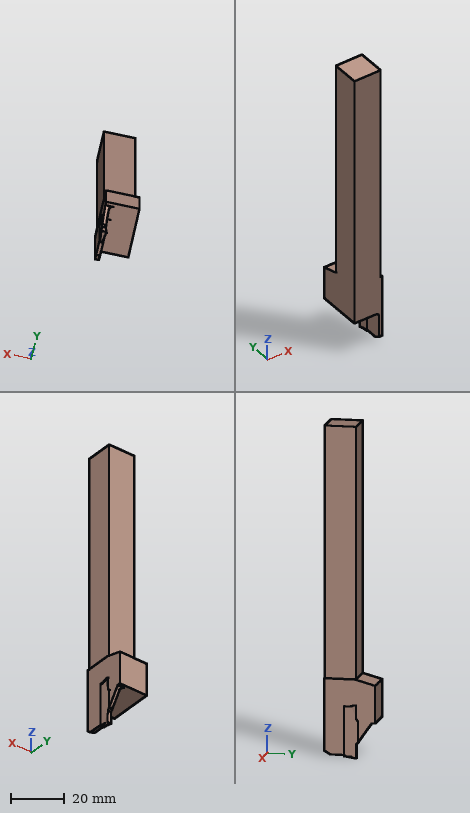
import cadquery as cq
import math

TOTAL_LENGTH = 126.4
SHANK_SIZE = 12.0
HEAD_DEPTH = 19.5
HEAD_BOTTOM = 13.6
HEAD_TOP = 30.1
HEAD_SLOPE_DROP = 2.0
HEAD_RIGHT = 12.8
BLADE_THICKNESS = 1.5
BLADE_FILLET = 1.5

JAW_BOTTOM = 1.1
JAW_CHAMFER_Y = 2.3
JAW_CHAMFER_Z = 1.4
UPPER_JAW_ROOT_Y = 18.1
UPPER_JAW_TIP_Z = 6.2

INSERT_LENGTH = 20.3
SEAT_Y = 7.6
CLAMP_Y = 12.9
RAKE_Y = 12.1
RAKE_LENGTH = 5.3
NOSE_WIDTH = 2.0
NOSE_CORNER_RADIUS = 0.3
BAR_END = 0.6
NOSE_LENGTH = 4.5
RELIEF_ANGLE = 7.0

blade_left = HEAD_RIGHT - BLADE_THICKNESS
blade_middle = HEAD_RIGHT - BLADE_THICKNESS / 2


def extrude_along_x(points, start, end):
    """Extrude a closed (Y, Z) outline from X = start to X = end."""
    return cq.Workplane("YZ", origin=(start, 0, 0)).polyline(points).close().extrude(end - start)


def make_insert_nose():
    """Lower nose, narrowing back into the bar, with relief away from the rake face."""
    half_bar = BLADE_THICKNESS / 2
    half_nose = NOSE_WIDTH / 2
    return (
        cq.Workplane("XZ", origin=(blade_middle, RAKE_Y, 0))
        .polyline([
            (-half_bar, NOSE_LENGTH),
            (-half_nose, 0),
            (half_nose, 0),
            (half_bar, NOSE_LENGTH),
        ])
        .close()
        .extrude(RAKE_Y - SEAT_Y, taper=RELIEF_ANGLE)
        .faces("<Z")
        .edges("not |X")
        .fillet(NOSE_CORNER_RADIUS)
    )


def make_insert():
    """Bar as thick as the blade, with a nose at both ends."""
    step = CLAMP_Y - RAKE_Y
    top = INSERT_LENGTH
    outline = [
        (SEAT_Y, BAR_END),
        (RAKE_Y, BAR_END),
        (RAKE_Y, RAKE_LENGTH),
        (CLAMP_Y, RAKE_LENGTH + step),
        (CLAMP_Y, top - RAKE_LENGTH - step),
        (RAKE_Y, top - RAKE_LENGTH),
        (RAKE_Y, top - BAR_END),
        (SEAT_Y, top - BAR_END),
    ]
    bar = extrude_along_x(outline, blade_left, HEAD_RIGHT)
    nose = make_insert_nose()
    opposite_nose = nose.mirror("XY", (0, 0, INSERT_LENGTH / 2))
    return bar.union(nose).union(opposite_nose)


def make_shank_and_head():
    """Square bar and the deeper, wider head, flush on the -X and -Y faces."""
    shank = cq.Workplane("XY", origin=(0, 0, HEAD_BOTTOM)).box(
        SHANK_SIZE, SHANK_SIZE, TOTAL_LENGTH - HEAD_BOTTOM, centered=False
    )
    head = extrude_along_x(
        [
            (0, HEAD_BOTTOM),
            (HEAD_DEPTH, HEAD_BOTTOM),
            (HEAD_DEPTH, HEAD_TOP - HEAD_SLOPE_DROP),
            (SHANK_SIZE, HEAD_TOP),
            (0, HEAD_TOP),
        ],
        0,
        HEAD_RIGHT,
    )
    return shank.union(head)


def make_blade():
    """Lower and upper jaws, with a fillet where they leave the underside of the head."""
    fillet_left = blade_left - BLADE_FILLET
    fillet_bottom = HEAD_BOTTOM - BLADE_FILLET
    arc_offset = BLADE_FILLET * math.sqrt(0.5)
    filleted_plate = (
        cq.Workplane("XZ")
        .moveTo(fillet_left, HEAD_BOTTOM)
        .lineTo(HEAD_RIGHT, HEAD_BOTTOM)
        .lineTo(HEAD_RIGHT, 0)
        .lineTo(blade_left, 0)
        .lineTo(blade_left, fillet_bottom)
        .threePointArc(
            (fillet_left + arc_offset, fillet_bottom + arc_offset),
            (fillet_left, HEAD_BOTTOM),
        )
        .close()
        .extrude(-HEAD_DEPTH)
    )
    lower_jaw = [
        (0, HEAD_BOTTOM),
        (0, JAW_BOTTOM + JAW_CHAMFER_Z),
        (JAW_CHAMFER_Y, JAW_BOTTOM),
        (SEAT_Y, JAW_BOTTOM),
        (SEAT_Y, HEAD_BOTTOM),
    ]
    upper_jaw = [
        (CLAMP_Y, HEAD_BOTTOM),
        (CLAMP_Y, UPPER_JAW_TIP_Z),
        (UPPER_JAW_ROOT_Y, HEAD_BOTTOM),
    ]
    jaws = extrude_along_x(lower_jaw, fillet_left, HEAD_RIGHT).union(
        extrude_along_x(upper_jaw, fillet_left, HEAD_RIGHT)
    )
    return filleted_plate.intersect(jaws)


insert = make_insert()
holder = make_shank_and_head().union(make_blade()).cut(insert)
result = cq.Compound.makeCompound([holder.solids().val(), insert.solids().val()])